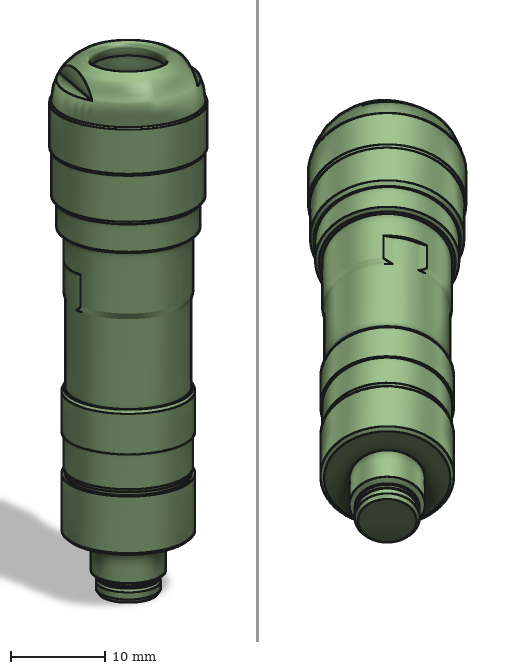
import cadquery as cq
import math

tip_radius = 3.45
tip_end_radius = 3.1
tip_groove_radius = 3.25
stem_radius = 4.0
nut_radius = 7.1
nut_bottom_radius = 6.7
neck_radius = 6.7
collar_radius = 6.9
body_radius = 6.7
sleeve_radius = 6.9
step_radius = 7.65
step_bottom_radius = 7.25
cap_radius = 8.2
cap_bottom_radius = 7.8
band_radius = 8.4

tip_chamfer_top = 0.5
groove_bottom = 1.3
groove_root = 1.65
groove_top = 1.88
stem_chamfer_bottom = 2.1
stem_bottom = 2.55
nut_bottom = 6.75
nut_chamfer_top = 7.1
nut_top = 13.5
collar_bottom = 13.85
collar_chamfer_top = 14.25
ring_bottom = 18.25
ring_chamfer_bottom = 22.85
ring_top = 23.25
sleeve_bottom = 33.4
sleeve_chamfer_top = 34.1
step_bottom = 41.1
step_chamfer_top = 41.4
cap_bottom = 44.55
cap_chamfer_top = 45.0
band_bottom = 50.2
band_chamfer_top = 50.5
band_chamfer_bottom = 55.5
band_top = 55.7
total_height = 60.7

recess_radius = 4.06
recess_floor = 59.25
rim_round_radius = 0.8
flat_distance = 6.05
flat_floor = 58.1

notch_outer_width = 4.85
notch_inner_width = 2.9
notch_top = 37.65

upper_turn_degrees = -1.0

clearance = 1.0


def point_at_angle(center, radius, degrees):
    angle = math.radians(degrees)
    return (center[0] + radius * math.cos(angle), center[1] + radius * math.sin(angle))


def revolve_profile(profile):
    return profile.close().revolve(360, (0, 0, 0), (0, 1, 0))


def make_turned_body():
    """Revolve everything below the sleeve, with the body core running up inside it."""
    profile = cq.Workplane("XZ").polyline([
        (0, 0),
        (tip_end_radius, 0),
        (tip_radius, tip_chamfer_top),
        (tip_radius, groove_bottom),
        (tip_groove_radius, groove_root),
        (tip_radius, groove_top),
        (tip_radius, stem_chamfer_bottom),
        (stem_radius, stem_bottom),
        (stem_radius, nut_bottom),
        (nut_bottom_radius, nut_bottom),
        (nut_radius, nut_chamfer_top),
        (nut_radius, nut_top),
        (neck_radius, nut_top),
        (neck_radius, collar_bottom),
        (collar_radius, collar_chamfer_top),
        (collar_radius, ring_bottom),
        (nut_radius, ring_bottom),
        (nut_radius, ring_chamfer_bottom),
        (collar_radius, ring_top),
        (body_radius, ring_top),
        (body_radius, step_bottom),
        (0, step_bottom),
    ])
    return revolve_profile(profile)


def make_sleeve_and_cap():
    """Revolve the sleeve, the stepped cap and its dome with the recessed end."""
    rim_center = (recess_radius + rim_round_radius, total_height - rim_round_radius)

    rise = rim_center[1] - band_top
    inset = cap_radius - rim_center[0]
    dome_radius = (rise**2 + inset**2 - rim_round_radius**2) / (2 * (inset - rim_round_radius))
    dome_center = (cap_radius - dome_radius, band_top)
    join_degrees = math.degrees(math.atan2(rise, rim_center[0] - dome_center[0]))

    dome_middle = point_at_angle(dome_center, dome_radius, join_degrees / 2)
    dome_end = point_at_angle(dome_center, dome_radius, join_degrees)
    rim_middle = point_at_angle(rim_center, rim_round_radius, (join_degrees + 180) / 2)
    rim_end = (recess_radius, rim_center[1])

    profile = (
        cq.Workplane("XZ")
        .polyline([
            (0, sleeve_bottom),
            (body_radius, sleeve_bottom),
            (sleeve_radius, sleeve_chamfer_top),
            (sleeve_radius, step_bottom),
            (step_bottom_radius, step_bottom),
            (step_radius, step_chamfer_top),
            (step_radius, cap_bottom),
            (cap_bottom_radius, cap_bottom),
            (cap_radius, cap_chamfer_top),
            (cap_radius, band_bottom),
            (band_radius, band_chamfer_top),
            (band_radius, band_chamfer_bottom),
            (cap_radius, band_top),
        ])
        .threePointArc(dome_middle, dome_end)
        .threePointArc(rim_middle, rim_end)
        .lineTo(recess_radius, recess_floor)
        .lineTo(0, recess_floor)
    )
    return revolve_profile(profile)


def make_notch_cutter():
    """Notch on the +Y side whose sloped flanks run from the sleeve to the body surface."""
    outer_half = notch_outer_width / 2
    inner_half = notch_inner_width / 2
    outer_y = math.sqrt(sleeve_radius**2 - outer_half**2)
    inner_y = math.sqrt(body_radius**2 - inner_half**2)
    far_y = sleeve_radius + clearance
    bottom = sleeve_bottom - clearance
    return (
        cq.Workplane("XY", origin=(0, 0, bottom))
        .polyline([
            (-outer_half, outer_y),
            (-inner_half, inner_y),
            (inner_half, inner_y),
            (outer_half, outer_y),
            (outer_half, far_y),
            (-outer_half, far_y),
        ])
        .close()
        .extrude(notch_top - bottom)
    )


def make_flat_cutter():
    """Block that leaves a wrench flat and its ledge on the +Y side of the dome."""
    width = 2 * (cap_radius + clearance)
    depth = cap_radius + clearance - flat_distance
    height = total_height + clearance - flat_floor
    block = cq.Workplane("XY").box(width, depth, height, centered=(True, False, False))
    return block.translate((0, flat_distance, flat_floor))


def cut_on_both_sides(solid, cutter):
    for side_degrees in (0, 180):
        turn = side_degrees + upper_turn_degrees
        solid = solid.cut(cutter.rotate((0, 0, 0), (0, 0, 1), turn))
    return solid


sleeve_and_cap = make_sleeve_and_cap()
sleeve_and_cap = cut_on_both_sides(sleeve_and_cap, make_notch_cutter())
sleeve_and_cap = cut_on_both_sides(sleeve_and_cap, make_flat_cutter())

result = make_turned_body().union(sleeve_and_cap)